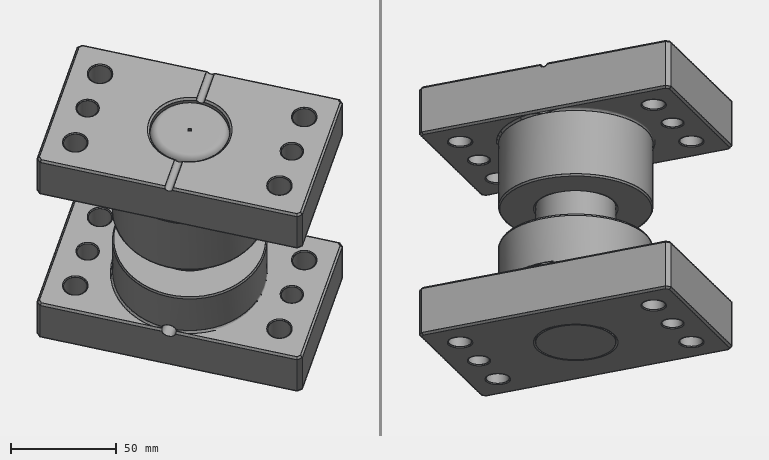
import cadquery as cq
import math

length = 130.0
width = 75.0
height = 130.0
plate_thickness = 25.0
edge_chamfer = 1.0
corner_chamfer = 2.0

hole_x = 50.0
bolt_y = 22.0
bolt_diameter = 11.0
dowel_diameter = 10.0
hole_chamfer = 0.5

hub_radius = width / 2 - edge_chamfer
lower_hub_top = 50.0
upper_hub_bottom = 70.0
hub_chamfer_radial = 0.57
hub_chamfer_axial = 1.0
hub_fillet = 1.0

pin_radius = 19.0
bore_chamfer = 1.0
pin_top = height
pin_nose_rounding = 4.3
center_mark_diameter = 1.5
center_mark_depth = 1.0

groove_radius = 2.0
port_diameter = 7.0


def make_plate():
    """Chamfered plate standing on Z = 0, with two rows of holes."""
    plate = cq.Workplane("XY").box(length, width, plate_thickness, centered=(True, True, False))
    plate = plate.edges("|Z").chamfer(corner_chamfer)
    plate = plate.faces("<Z or >Z").edges().chamfer(edge_chamfer)
    for x in (-hole_x, hole_x):
        for y, diameter in ((-bolt_y, bolt_diameter), (0, dowel_diameter), (bolt_y, bolt_diameter)):
            hole = make_chamfered_cutter(diameter / 2, plate_thickness, hole_chamfer)
            plate = plate.cut(hole.translate((x, y, 0)))
    return plate


def make_chamfered_cutter(radius, depth, chamfer):
    """Cutter for a round through hole from Z = 0 to depth, chamfered at both ends."""
    mouth = radius + chamfer
    profile = [
        (0, 0),
        (mouth, 0),
        (radius, chamfer),
        (radius, depth - chamfer),
        (mouth, depth),
        (0, depth),
    ]
    return cq.Workplane("XZ").polyline(profile).close().revolve(360, (0, 0), (0, 1))


def make_hub(top):
    """Round hub from Z = 0 to top, filleted onto the plate and chamfered at its free end."""
    mid = hub_fillet * (1 - math.sqrt(0.5))
    hub = (
        cq.Workplane("XZ")
        .lineTo(hub_radius + hub_fillet, 0)
        .lineTo(hub_radius + hub_fillet, plate_thickness)
        .threePointArc(
            (hub_radius + mid, plate_thickness + mid),
            (hub_radius, plate_thickness + hub_fillet),
        )
        .lineTo(hub_radius, top - hub_chamfer_axial)
        .lineTo(hub_radius - hub_chamfer_radial, top)
        .lineTo(0, top)
        .close()
        .revolve(360, (0, 0), (0, 1))
    )
    flat_zone = cq.Workplane("XY").box(length, 2 * hub_radius, 2 * top)
    return hub.intersect(flat_zone)


def make_holder(top):
    """Plate and hub in one piece, standing on Z = 0 with a chamfered bore for the pin."""
    bore = make_chamfered_cutter(pin_radius, top, bore_chamfer)
    return make_plate().union(make_hub(top)).cut(bore)


def make_lower_holder():
    """Lower holder with a radial port from the front into the bore."""
    port = (
        cq.Workplane("XZ", origin=(0, 0, plate_thickness))
        .circle(port_diameter / 2)
        .extrude(width / 2)
    )
    return make_holder(lower_hub_top).cut(port)


def make_upper_holder():
    """Inverted holder with a vent groove across its outer face."""
    holder = make_holder(height - upper_hub_bottom)
    groove = (
        cq.Workplane("XZ")
        .moveTo(-groove_radius, 0)
        .threePointArc((0, groove_radius), (groove_radius, 0))
        .close()
        .extrude(width / 2, both=True)
    )
    holder = holder.cut(groove)
    return holder.rotate((0, 0, 0), (1, 0, 0), 180).translate((0, 0, height))


def make_pin():
    """Guide pin with a rounded nose and a center mark."""
    shoulder = pin_top - pin_nose_rounding
    nose_flat_radius = pin_radius - pin_nose_rounding
    pin = (
        cq.Workplane("XZ")
        .lineTo(pin_radius, 0)
        .lineTo(pin_radius, shoulder)
        .radiusArc((nose_flat_radius, pin_top), -pin_nose_rounding)
        .lineTo(0, pin_top)
        .close()
        .revolve(360, (0, 0), (0, 1))
    )
    return pin.faces(">Z").workplane().hole(center_mark_diameter, center_mark_depth)


lower_holder = make_lower_holder()
upper_holder = make_upper_holder()
pin = make_pin()

result = cq.Compound.makeCompound([lower_holder.val(), upper_holder.val(), pin.val()])